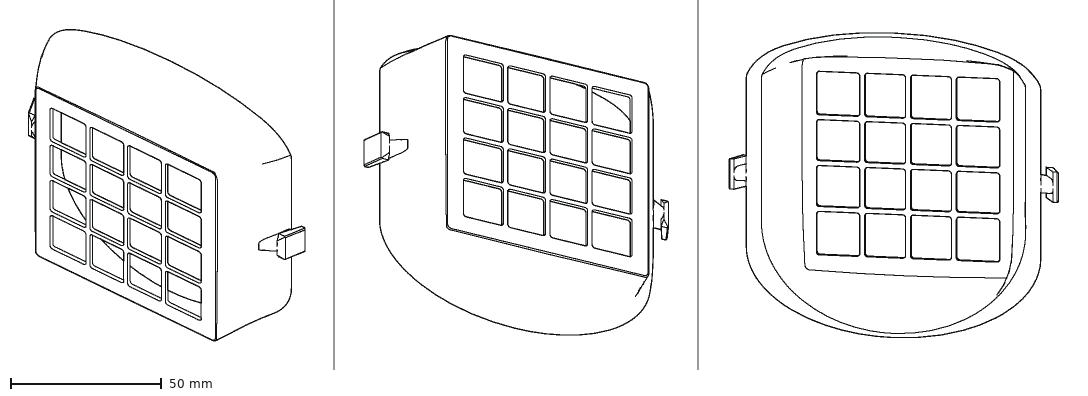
import cadquery as cq
import math

depth = 25.0
plate_thickness = 1.5

rim_half_width = 49.9
rim_side_top = 32.4
rim_side_bottom = -24.3
rim_top = 50.0
rim_bottom = -53.1

front_half = 37.3
front_corner = 1.6
front_upper_corner_height = 2.9
front_edge_chamfer = 0.3
front_bevel_angle = 60
front_flank_top = -4.7

top_corner_angle = math.radians(6)
flank_angle = math.radians(42)
bottom_corner_angle = math.radians(46)

side_bulge = 1.3
end_bulge = 1.22
loft_fractions = [0, 0.33, 0.67, 1]
edge_steps = 8

rim_side_wall = 5.1
front_side_wall = 2.2
end_wall = 1.5

cavity_side_bottom = -15.6

grille_size = 62.1
grille_bars = 3
bar_width = 1.7
opening_corner = 1.0

clip_reach = 55.8
clip_half_height = 5.1
clip_lip_depth = 7.5
clip_lip_reach = 52.9
clip_back_thickness = 1.8
clip_lip_thickness = 2.8
clip_nose_depth = 8.9
clip_nose_half_height = 3.1
clip_edge_chamfer = 0.39
rib_end_x = 45.2
rib_end_depth = 12.2
rib_half_height = 2.5
rib_round = 1.9


def lerp(start, end, fraction):
    return start + (end - start) * fraction


def ellipse_piece(half_width, centre_z, height, start, end, centre_x=0):
    """Stretch of an ellipse between two angles, as a function of a fraction u from 0 to 1."""

    def point(u):
        angle = lerp(start, end, u)
        return centre_x + half_width * math.cos(angle), centre_z + height * math.sin(angle)

    return point


def line_piece(start, end):
    """Straight stretch between two points, as a function of a fraction u from 0 to 1."""

    def point(u):
        return lerp(start[0], end[0], u), lerp(start[1], end[1], u)

    return point


def section(fraction, side_wall=0, end_inset=0, side_bottom=rim_side_bottom):
    """Closed outline at a fraction of the depth, moved inward by the wall thicknesses."""
    width = rim_half_width - side_wall
    top_height = rim_top - end_inset - rim_side_top
    bottom_height = rim_bottom + end_inset - side_bottom
    half_x = front_half - side_wall
    half_z = front_half - end_inset
    arc_x = half_x - front_corner
    arc_top = half_z - front_upper_corner_height
    arc_bottom = front_corner - half_z
    quarter = math.pi / 2

    def upper(start, end):
        return ellipse_piece(width, rim_side_top, top_height, start, end)

    def lower(start, end):
        return ellipse_piece(width, side_bottom, bottom_height, start, end)

    def front_arc(centre_z, height, start, end):
        return ellipse_piece(front_corner, centre_z, height, start, end, arc_x)

    crown = (
        upper(math.pi - top_corner_angle, top_corner_angle),
        line_piece((-arc_x, half_z), (arc_x, half_z)),
    )
    pieces = [
        (upper(top_corner_angle, 0), front_arc(arc_top, front_upper_corner_height, quarter, 0)),
        (
            line_piece((width, rim_side_top), (width, side_bottom)),
            line_piece((half_x, arc_top), (half_x, front_flank_top)),
        ),
        (lower(0, flank_angle), line_piece((half_x, front_flank_top), (half_x, arc_bottom))),
        (lower(flank_angle, bottom_corner_angle), front_arc(arc_bottom, -front_corner, 0, quarter)),
        (lower(bottom_corner_angle, quarter), line_piece((arc_x, -half_z), (0, -half_z))),
    ]
    side_blend = fraction**side_bulge
    end_blend = fraction**end_bulge

    def edge(rim, front, mirror):
        points = []
        for i in range(edge_steps + 1):
            u = i / edge_steps
            x = lerp(rim(u)[0], front(u)[0], side_blend)
            z = lerp(rim(u)[1], front(u)[1], end_blend)
            points.append(cq.Vector(mirror * x, -depth * fraction, z))
        if mirror < 0:
            points.reverse()
        return cq.Edge.makeSpline(points)

    edges = [edge(*crown, 1)]
    edges += [edge(rim, front, 1) for rim, front in pieces]
    edges += [edge(rim, front, -1) for rim, front in reversed(pieces)]
    return cq.Wire.assembleEdges(edges)


def outer_body():
    wires = [section(f) for f in loft_fractions]
    body = cq.Workplane(cq.Solid.makeLoft(wires))
    face_size = 2 * (front_half - front_edge_chamfer)
    bevel = (
        cq.Workplane("XZ", origin=(0, -depth, 0))
        .sketch()
        .rect(face_size, face_size)
        .vertices()
        .fillet(front_corner)
        .finalize()
        .extrude(-depth, taper=-front_bevel_angle)
    )
    return body.intersect(bevel)


def cavity():
    wires = []
    for fraction in loft_fractions:
        side_wall = lerp(rim_side_wall, front_side_wall, fraction)
        wires.append(section(fraction, side_wall, end_wall, cavity_side_bottom))
    space = cq.Workplane(cq.Solid.makeLoft(wires))
    plate = (
        cq.Workplane()
        .box(3 * rim_half_width, 2 * plate_thickness, 3 * rim_half_width)
        .translate((0, -depth, 0))
    )
    return space.cut(plate)


def opening_spans():
    """Start and end of each opening along one direction of the grille."""
    pitch = grille_size / (grille_bars + 1)
    bar_centres = [(i + 1) * pitch - grille_size / 2 for i in range(grille_bars)]
    starts = [-grille_size / 2] + [centre + bar_width / 2 for centre in bar_centres]
    ends = [centre - bar_width / 2 for centre in bar_centres] + [grille_size / 2]
    return list(zip(starts, ends))


def grille_openings():
    openings = cq.Workplane()
    for left, right in opening_spans():
        for low, high in opening_spans():
            opening = (
                cq.Workplane()
                .box(right - left, 4 * plate_thickness, high - low)
                .edges("|Y")
                .fillet(opening_corner)
                .translate(((left + right) / 2, -depth, (low + high) / 2))
            )
            openings = openings.add(opening)
    return openings.combine()


def clip():
    """Clip on the +X side: a sloping finger plate carried by a rounded rib."""
    slope_fraction = (clip_nose_depth - clip_lip_depth) / (rib_end_depth - clip_lip_depth)
    nose_x = lerp(clip_lip_reach, rib_end_x, slope_fraction)
    outer_face_centre = ((clip_reach + clip_lip_reach) / 2, -clip_lip_depth / 2, 0)
    plate = (
        cq.Workplane("XY")
        .polyline(
            [
                (clip_reach - clip_edge_chamfer, 0),
                (clip_reach, -clip_edge_chamfer),
                (clip_lip_reach, -clip_lip_depth),
                (nose_x, -clip_nose_depth),
                (clip_lip_reach - clip_lip_thickness, -clip_lip_depth),
                (clip_reach - clip_back_thickness, 0),
            ]
        )
        .close()
        .extrude(clip_half_height, both=True)
        .faces(cq.selectors.NearestToPointSelector(outer_face_centre))
        .edges("not |Z")
        .chamfer(clip_edge_chamfer)
    )
    nose = (
        cq.Workplane("YZ")
        .polyline(
            [
                (0, clip_half_height),
                (-clip_lip_depth, clip_half_height),
                (-clip_nose_depth, clip_nose_half_height),
                (-clip_nose_depth, -clip_nose_half_height),
                (-clip_lip_depth, -clip_half_height),
                (0, -clip_half_height),
            ]
        )
        .close()
        .extrude(clip_reach)
    )
    rib = (
        cq.Workplane("XY")
        .polyline(
            [
                (clip_reach - clip_back_thickness / 2, 0),
                (nose_x, -clip_nose_depth),
                (rib_end_x, -rib_end_depth),
                (rib_end_x, 0),
            ]
        )
        .close()
        .extrude(rib_half_height, both=True)
        .edges("|X")
        .fillet(rib_round)
        .faces("<Y")
        .edges("not |Z")
        .fillet(rib_round)
    )
    return plate.intersect(nose).union(rib)


right_clip = clip()
shell = outer_body().union(right_clip).union(right_clip.mirror("YZ"))
result = shell.cut(cavity()).cut(grille_openings()).solids()